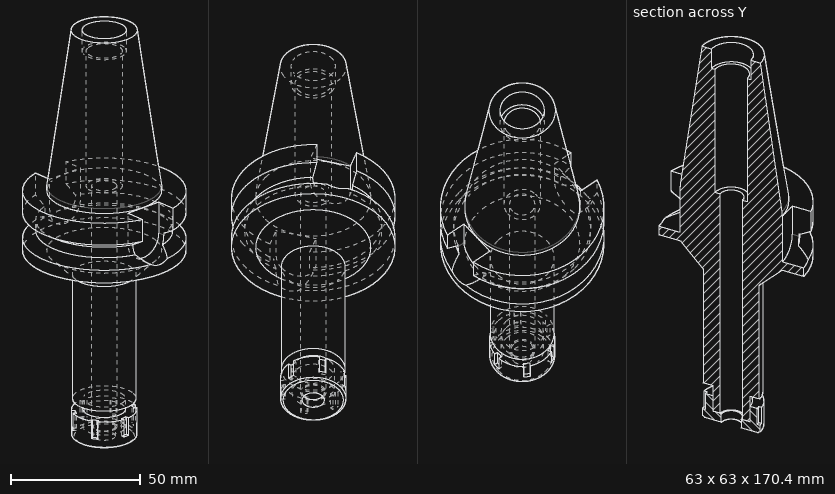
import cadquery as cq

TOTAL_LENGTH = 170.4

TAPER_TOP_RADIUS = 12.8
GAUGE_RADIUS = 22.2
TAPER_LENGTH = 65.5
GAUGE_LENGTH = 2.0

FLANGE_RADIUS = 31.5
GROOVE_RADIUS = 26.4
FLANGE_THICKNESS = 25.0
GROOVE_START = 9.2
GROOVE_END = 19.8
GROOVE_SIDE_HEIGHT = 3.0

SLOT_WIDTH = 16.0
SLOT_FLOOR_OFFSET = 22.3
SLOT_DEPTH = 21.0

CONE_RADIUS = 22.2
SHANK_RADIUS = 12.3
NECK_RADIUS = 8.2
NECK_EXPOSED_LENGTH = 4.5

MOUTH_RADIUS = 8.5
MOUTH_DEPTH = 8.9
TAPER_BORE_RADIUS = 7.0
SHANK_BORE_RADIUS = 4.85

NUT_RADIUS = 12.6
NUT_HEIGHT = 11.2
NUT_HOLE_RADIUS = 4.3
NUT_CHAMFER_HEIGHT = 0.7
NUT_CHAMFER_WIDTH = 1.0
WRENCH_SLOT_COUNT = 6
WRENCH_SLOT_WIDTH = 2.5
WRENCH_SLOT_LENGTH = 7.3
WRENCH_SLOT_FLOOR_RADIUS = 11.2

taper_bottom_z = TOTAL_LENGTH - TAPER_LENGTH
flange_top_z = taper_bottom_z - GAUGE_LENGTH
flange_bottom_z = flange_top_z - FLANGE_THICKNESS
cone_bottom_z = flange_bottom_z - (CONE_RADIUS - SHANK_RADIUS)
shank_bottom_z = NUT_HEIGHT + NECK_EXPOSED_LENGTH
neck_bottom_z = NUT_HEIGHT - WRENCH_SLOT_LENGTH


def revolve_profile(points):
    """Turn a closed (radius, height) outline about the Z axis."""
    return cq.Workplane("XZ").polyline(points).close().revolve(360, (0, 0, 0), (0, 1, 0))


def cylinder(radius, bottom_z, top_z):
    return cq.Workplane("XY").workplane(offset=bottom_z).circle(radius).extrude(top_z - bottom_z)


def make_drive_slot(side):
    """Round-bottomed cutter for the drive slot on the +X (side=1) or -X (side=-1) flank."""
    half_width = SLOT_WIDTH / 2
    arc_center_z = flange_top_z - SLOT_DEPTH + half_width
    return (
        cq.Workplane("YZ", origin=(side * SLOT_FLOOR_OFFSET, 0, 0))
        .moveTo(-half_width, flange_top_z)
        .lineTo(-half_width, arc_center_z)
        .threePointArc((0, flange_top_z - SLOT_DEPTH), (half_width, arc_center_z))
        .lineTo(half_width, flange_top_z)
        .close()
        .extrude(side * FLANGE_RADIUS)
    )


def make_holder():
    groove_top_z = flange_top_z - GROOVE_START
    groove_bottom_z = flange_top_z - GROOVE_END
    body = revolve_profile([
        (0, TOTAL_LENGTH),
        (TAPER_TOP_RADIUS, TOTAL_LENGTH),
        (GAUGE_RADIUS, taper_bottom_z),
        (GAUGE_RADIUS, flange_top_z),
        (FLANGE_RADIUS, flange_top_z),
        (FLANGE_RADIUS, groove_top_z),
        (GROOVE_RADIUS, groove_top_z - GROOVE_SIDE_HEIGHT),
        (GROOVE_RADIUS, groove_bottom_z + GROOVE_SIDE_HEIGHT),
        (FLANGE_RADIUS, groove_bottom_z),
        (FLANGE_RADIUS, flange_bottom_z),
        (CONE_RADIUS, flange_bottom_z),
        (SHANK_RADIUS, cone_bottom_z),
        (SHANK_RADIUS, shank_bottom_z),
        (NECK_RADIUS, shank_bottom_z),
        (NECK_RADIUS, neck_bottom_z),
        (0, neck_bottom_z),
    ])
    for side in (-1, 1):
        body = body.cut(make_drive_slot(side))
    body = body.cut(cylinder(MOUTH_RADIUS, TOTAL_LENGTH - MOUTH_DEPTH, TOTAL_LENGTH))
    body = body.cut(cylinder(TAPER_BORE_RADIUS, taper_bottom_z, TOTAL_LENGTH))
    return body.cut(cylinder(SHANK_BORE_RADIUS, neck_bottom_z, TOTAL_LENGTH))


def make_wrench_slot(angle):
    """Cutter for one open-topped slot in the rim of the nut, facing the given angle."""
    return (
        cq.Workplane("XY", origin=(WRENCH_SLOT_FLOOR_RADIUS, 0, neck_bottom_z))
        .box(NUT_RADIUS, WRENCH_SLOT_WIDTH, WRENCH_SLOT_LENGTH, centered=(False, True, False))
        .rotate((0, 0, 0), (0, 0, 1), angle)
    )


def make_nut():
    body = revolve_profile([
        (NUT_HOLE_RADIUS, 0),
        (NUT_RADIUS - NUT_CHAMFER_WIDTH, 0),
        (NUT_RADIUS, NUT_CHAMFER_HEIGHT),
        (NUT_RADIUS, NUT_HEIGHT),
        (NECK_RADIUS, NUT_HEIGHT),
        (NECK_RADIUS, neck_bottom_z),
        (NUT_HOLE_RADIUS, neck_bottom_z),
    ])
    for index in range(WRENCH_SLOT_COUNT):
        body = body.cut(make_wrench_slot(index * 360 / WRENCH_SLOT_COUNT))
    return body


holder = make_holder()
nut = make_nut()
result = cq.Compound.makeCompound([holder.val(), nut.val()])